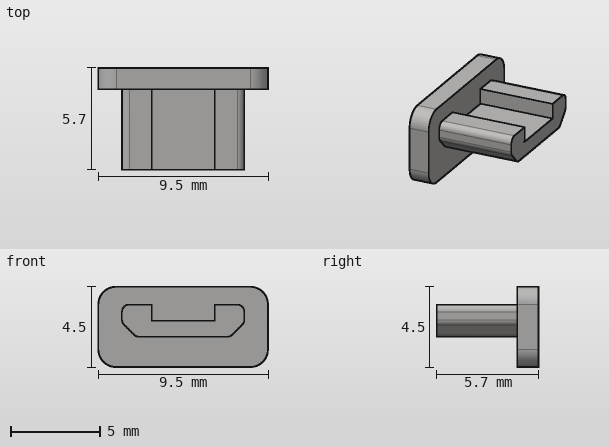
import cadquery as cq

flange_width = 9.5
flange_height = 4.5
flange_thickness = 1.2
flange_corner_radius = 1.0

total_depth = 5.7
plug_length = total_depth - flange_thickness
plug_width = 6.84
plug_top = 1.24
plug_height = 1.8
plug_bottom = plug_top - plug_height
plug_chamfer = 0.79
plug_edge_radius = 0.4

channel_width = 3.515
channel_depth = 0.9


def make_flange():
    """Plate centred on X and Z, with its front face at Y = 0."""
    return (
        cq.Workplane("XZ")
        .rect(flange_width, flange_height)
        .extrude(-flange_thickness)
        .edges("|Y")
        .fillet(flange_corner_radius)
    )


def make_plug():
    """Bar with chamfered lower corners, rounded along every outer edge."""
    half_width = plug_width / 2
    half_bottom = half_width - plug_chamfer
    chamfer_top = plug_bottom + plug_chamfer
    outline = [
        (-half_width, plug_top),
        (half_width, plug_top),
        (half_width, chamfer_top),
        (half_bottom, plug_bottom),
        (-half_bottom, plug_bottom),
        (-half_width, chamfer_top),
    ]
    return (
        cq.Workplane("XZ")
        .polyline(outline)
        .close()
        .extrude(plug_length)
        .edges("|Y")
        .fillet(plug_edge_radius)
    )


def make_channel():
    """Cutter for the open-topped channel running the length of the plug."""
    return (
        cq.Workplane("XZ")
        .center(0, plug_top - channel_depth / 2)
        .rect(channel_width, channel_depth)
        .extrude(plug_length)
    )


result = make_flange().union(make_plug().cut(make_channel()))